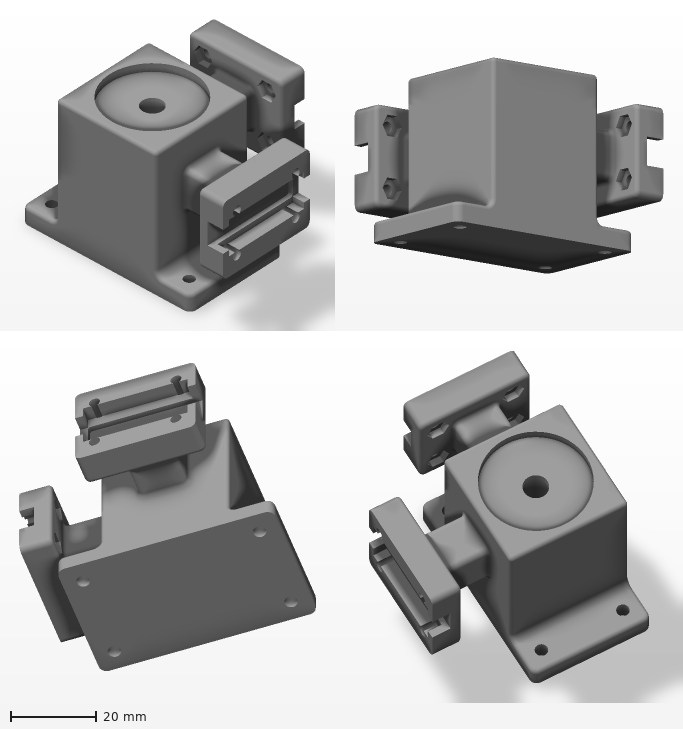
import cadquery as cq

BASE_LENGTH = 54.0
BASE_THICKNESS = 5.0
BODY_WIDTH = 32.0
TOTAL_HEIGHT = 41.0
BASE_CORNER_RADIUS = 2.0
FOOT_RADIUS = 2.0
EDGE_RADIUS = 1.0
MOUNT_HOLE_DIAMETER = 3.2
MOUNT_HOLE_SPACING_X = 44.0
MOUNT_HOLE_SPACING_Y = 22.05

SEAT_DIAMETER = 27.25
SEAT_DEPTH = 2.5
BORE_TOP_DIAMETER = 6.3
BORE_BOTTOM_DIAMETER = 4.7
BORE_DEPTH = 30.0
BORE_BOTTOM_RADIUS = 1.0

ARM_HEIGHT = 25.0
ARM_REACH = 36.5
NECK_SIZE = 12.0
NECK_EDGE_RADIUS = 1.45
NECK_END_RADIUS = 1.0
HEAD_WIDTH = 30.0
HEAD_HEIGHT_X = 22.55
HEAD_HEIGHT_Y = 24.75
HEAD_THICKNESS = 8.0
HEAD_CORNER_RADIUS = 1.5

CAVITY_DEPTH = 3.6
CAVITY_END_WALL = 2.0
CAVITY_SIDE_WALL = 6.0
SLOT_WIDTH = 7.0
GROOVE_DEPTH = 4.95
GROOVE_END_RADIUS = 0.75

SCREW_INSET = 4.8
SCREW_DIAMETER = 2.7
NUT_ACROSS_CORNERS = 5.9
NUT_DEPTH = 1.8

HALF_BODY = BODY_WIDTH / 2
HEAD_INNER = ARM_REACH - HEAD_THICKNESS
OVERLAP = 0.65


def make_body():
    """Block on a base plate, as one profile carried across the full depth."""
    half_base = BASE_LENGTH / 2
    profile = (
        cq.Workplane("XZ")
        .moveTo(-half_base, 0)
        .lineTo(half_base, 0)
        .lineTo(half_base, BASE_THICKNESS)
        .lineTo(HALF_BODY + FOOT_RADIUS, BASE_THICKNESS)
        .radiusArc((HALF_BODY, BASE_THICKNESS + FOOT_RADIUS), FOOT_RADIUS)
        .lineTo(HALF_BODY, TOTAL_HEIGHT)
        .lineTo(-HALF_BODY, TOTAL_HEIGHT)
        .lineTo(-HALF_BODY, BASE_THICKNESS + FOOT_RADIUS)
        .radiusArc((-HALF_BODY - FOOT_RADIUS, BASE_THICKNESS), FOOT_RADIUS)
        .lineTo(-half_base, BASE_THICKNESS)
        .close()
    )
    body = profile.extrude(HALF_BODY, both=True)
    body = body.faces("<X or >X").edges("|Z").fillet(BASE_CORNER_RADIUS)
    outline = body.faces("<Y or >Y").edges("not <Z")
    base_ends = body.faces("<X or >X").edges(">Z")
    top_edges = body.faces(">Z").edges()
    return outline.add(base_ends).add(top_edges).fillet(EDGE_RADIUS)


def cut_seat_and_bore(body):
    """Flat round seat in the top, with a slightly tapered blind bore at its centre."""
    seat_floor = TOTAL_HEIGHT - SEAT_DEPTH
    seat = (
        cq.Workplane("XY")
        .workplane(offset=seat_floor)
        .circle(SEAT_DIAMETER / 2)
        .extrude(SEAT_DEPTH + OVERLAP)
    )
    bore = (
        cq.Workplane("XZ")
        .moveTo(0, seat_floor)
        .lineTo(BORE_TOP_DIAMETER / 2, seat_floor)
        .lineTo(BORE_BOTTOM_DIAMETER / 2, seat_floor - BORE_DEPTH)
        .lineTo(0, seat_floor - BORE_DEPTH)
        .close()
        .revolve(360, (0, 0, 0), (0, 1, 0))
        .faces("<Z")
        .edges()
        .fillet(BORE_BOTTOM_RADIUS)
    )
    return body.cut(seat).cut(bore)


def cut_mount_holes(body):
    """Four through holes near the corners of the base plate."""
    holes = (
        cq.Workplane("XY")
        .rect(MOUNT_HOLE_SPACING_X, MOUNT_HOLE_SPACING_Y, forConstruction=True)
        .vertices()
        .circle(MOUNT_HOLE_DIAMETER / 2)
        .extrude(BASE_THICKNESS + OVERLAP)
    )
    return body.cut(holes)


def plane_across_arm(distance):
    """Plane square to the +X arm, with local x along Y and local y along Z."""
    return cq.Workplane("YZ", origin=(distance, 0, ARM_HEIGHT))


def make_neck():
    """Square neck with rounded edges, from the block face to the head."""
    return (
        plane_across_arm(HALF_BODY)
        .rect(NECK_SIZE, NECK_SIZE)
        .extrude(HEAD_INNER - HALF_BODY)
        .edges("|X")
        .fillet(NECK_EDGE_RADIUS)
    )


def make_head(height, groove_side):
    """Clamp head on the +X arm; groove_side (-1 or 1) is the Y end where the groove leaves."""
    head = (
        plane_across_arm(HEAD_INNER)
        .rect(HEAD_WIDTH, height)
        .extrude(HEAD_THICKNESS)
        .edges("|X")
        .fillet(HEAD_CORNER_RADIUS)
        .faces("<X")
        .edges()
        .fillet(EDGE_RADIUS)
    )

    cavity_length = HEAD_WIDTH - 2 * CAVITY_END_WALL
    cavity = (
        plane_across_arm(ARM_REACH)
        .rect(cavity_length, height - 2 * CAVITY_SIDE_WALL)
        .extrude(-CAVITY_DEPTH)
    )
    slot = plane_across_arm(ARM_REACH).rect(HEAD_WIDTH, SLOT_WIDTH).extrude(-CAVITY_DEPTH)
    groove = (
        plane_across_arm(ARM_REACH)
        .center(groove_side * CAVITY_END_WALL, 0)
        .rect(HEAD_WIDTH, SLOT_WIDTH)
        .extrude(-GROOVE_DEPTH)
        .edges("|X")
        .fillet(GROOVE_END_RADIUS)
    )
    head = head.cut(cavity).cut(slot).cut(groove)

    screw_spacing = (HEAD_WIDTH - 2 * SCREW_INSET, height - 2 * SCREW_INSET)
    screws = plane_across_arm(HEAD_INNER).rect(*screw_spacing, forConstruction=True).vertices()
    nut_pockets = screws.polygon(6, NUT_ACROSS_CORNERS).extrude(NUT_DEPTH)
    screw_holes = screws.circle(SCREW_DIAMETER / 2).extrude(HEAD_THICKNESS)
    return head.cut(nut_pockets).cut(screw_holes)


def make_arm(head_height, groove_side):
    """Neck and head along +X, with the neck blended into both the block and the head.

    A thin backing just inside the block face carries the blend at that end.
    """
    backing_size = NECK_SIZE + 4 * NECK_END_RADIUS
    backing = plane_across_arm(HALF_BODY).rect(backing_size, backing_size).extrude(-OVERLAP)
    arm = backing.union(make_neck()).union(make_head(head_height, groove_side))
    half_window = NECK_SIZE / 2 + OVERLAP
    for joint in (HALF_BODY, HEAD_INNER):
        neck_outline = cq.selectors.BoxSelector(
            (joint - OVERLAP / 2, -half_window, ARM_HEIGHT - half_window),
            (joint + OVERLAP / 2, half_window, ARM_HEIGHT + half_window),
            boundingbox=True,
        )
        arm = arm.edges(neck_outline).fillet(NECK_END_RADIUS)
    return arm


body = cut_mount_holes(cut_seat_and_bore(make_body()))
arm_x = make_arm(HEAD_HEIGHT_X, groove_side=-1)
arm_y = make_arm(HEAD_HEIGHT_Y, groove_side=1).rotate((0, 0, 0), (0, 0, 1), 90)
result = body.union(arm_x).union(arm_y)